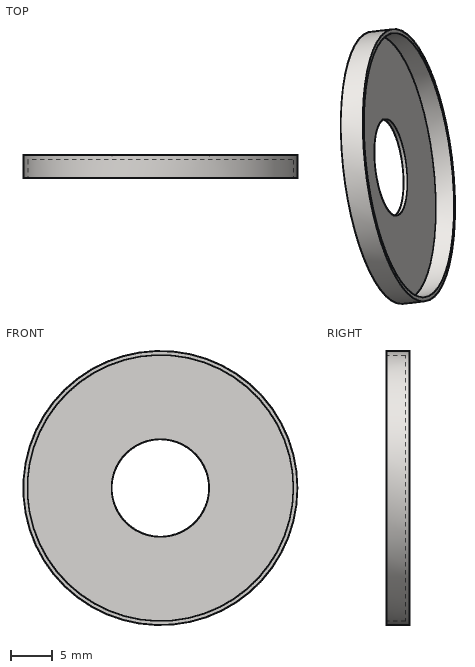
import cadquery as cq

outer_diameter = 33.0
total_depth = 2.8
rim_thickness = 0.5
web_thickness = 0.5
bore_diameter = 11.7

recess_diameter = outer_diameter - 2 * rim_thickness
recess_depth = total_depth - web_thickness


def cylinder_along_y(diameter, start_y, length):
    """Solid cylinder about the Y axis from start_y toward +Y."""
    plane = cq.Workplane("XZ", origin=(0, start_y, 0))
    return plane.circle(diameter / 2).extrude(-length)


front_y = -total_depth / 2

disc = cylinder_along_y(outer_diameter, front_y, total_depth)

recess = cylinder_along_y(recess_diameter, front_y, recess_depth)

bore = cylinder_along_y(bore_diameter, front_y, total_depth)

result = disc.cut(recess).cut(bore)